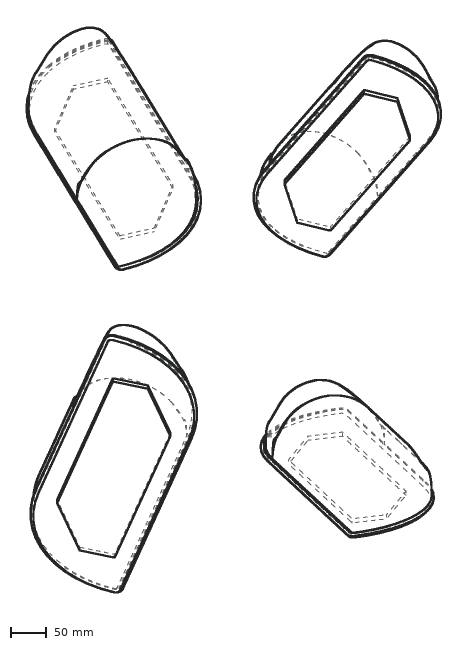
import cadquery as cq
import math

LENGTH = 512.5
WIDTH = 177.5

PLATE_HEIGHT = 6.0
RIM_HEIGHT = 7.0
DOME_HEIGHT = 84.5

RIM_ARC_RADIUS = 172.5
RIM_CORNER_RADIUS = 9.5
RIM_CHAMFER = 4.0
RIM_TOP_FILLET = 2.0
BEAD_WIDTH = 4.5
RECESS_DEPTH = 1.5

DOME_LENGTH = 502.5
DOME_WIDTH = 167.0
DOME_SHIFT_X = 1.0
DOME_SHIFT_Y = -2.5
CROWN_EXPONENT = 2.35
TIP_ANGLE = 1
SECTION_COUNT = 14
ARCH_STEPS = 8

PLATE_LENGTH = 351.5
PLATE_WIDTH = 110.5
PLATE_CUT_X = 85.5
PLATE_CUT_Y = 59.5

RIM_BOTTOM = PLATE_HEIGHT
RECESS_FLOOR = RIM_BOTTOM + RIM_HEIGHT - RECESS_DEPTH
DOME_END_LENGTH = DOME_WIDTH
DOME_MIDDLE = DOME_LENGTH - 2 * DOME_END_LENGTH


def half_turn(shape):
    """Copy of a shape turned 180 degrees about the Z axis."""
    return shape.rotate((0, 0, 0), (0, 0, 1), 180)


def make_plate():
    """Low plate with two opposite corners cut away."""
    x, y = PLATE_LENGTH / 2, PLATE_WIDTH / 2
    outline = [
        (-x, y),
        (-x, -y + PLATE_CUT_Y),
        (-x + PLATE_CUT_X, -y),
        (x, -y),
        (x, y - PLATE_CUT_Y),
        (x - PLATE_CUT_X, y),
    ]
    return cq.Workplane("XY").polyline(outline).close().extrude(PLATE_HEIGHT)


def lens_slab(inset, bottom, height):
    """Lens-shaped slab inset from the rim edge: a sharp-tipped core grown until its tips are round."""
    x = LENGTH / 2 - RIM_CORNER_RADIUS
    y = WIDTH / 2 - RIM_CORNER_RADIUS
    radius = RIM_ARC_RADIUS - RIM_CORNER_RADIUS
    center_y = -y + radius
    tip_angle = math.asin((y - center_y) / radius)
    center_x = -x + radius * math.cos(tip_angle)
    middle_angle = (tip_angle - math.pi / 2) / 2
    tip = (-x, y)
    middle = (
        center_x - radius * math.cos(middle_angle),
        center_y + radius * math.sin(middle_angle),
    )
    return (
        cq.Workplane("XY", origin=(0, 0, bottom))
        .moveTo(*tip)
        .threePointArc(middle, (center_x, -y))
        .lineTo(-tip[0], -tip[1])
        .threePointArc((-middle[0], -middle[1]), (-center_x, y))
        .close()
        .offset2D(RIM_CORNER_RADIUS - inset, "arc")
        .extrude(height)
    )


def make_rim():
    """Rim with a chamfered underside and a rounded bead around a shallow recess."""
    rim = lens_slab(0, RIM_BOTTOM, RIM_HEIGHT)
    rim = rim.faces("<Z").chamfer(RIM_CHAMFER)
    rim = rim.faces(">Z").edges().fillet(RIM_TOP_FILLET)
    return rim.cut(lens_slab(BEAD_WIDTH, RECESS_FLOOR, RECESS_DEPTH))


def dome_section(reach):
    """Closed half-ellipse across the -X end, at a fraction `reach` of the way to its tip."""
    width = DOME_WIDTH * math.sqrt(1 - reach**2)
    height = DOME_HEIGHT * (1 - reach**CROWN_EXPONENT) ** (1 / CROWN_EXPONENT)
    middle_y = (DOME_WIDTH - width) / 2
    arch = []
    for step in range(ARCH_STEPS + 1):
        angle = math.pi * step / ARCH_STEPS
        arch.append((middle_y + width / 2 * math.cos(angle), height * math.sin(angle)))
    x = -DOME_MIDDLE / 2 - reach * DOME_END_LENGTH
    return (
        cq.Workplane("YZ", origin=(x, 0, 0))
        .moveTo(*arch[0])
        .spline(arch[1:], tangents=[(0, 1), (0, -1)], includeCurrent=True)
        .close()
    )


def make_dome():
    """Straight vault closed by two lofted ends that lean to opposite sides."""
    sections = []
    for index in range(SECTION_COUNT):
        fraction = index / (SECTION_COUNT - 1)
        angle = 90 + (TIP_ANGLE - 90) * fraction
        sections.append(dome_section(math.cos(math.radians(angle))).val())
    end = cq.Workplane(cq.Solid.makeLoft(sections))
    vault = dome_section(0).extrude(DOME_MIDDLE)
    dome = vault.union(end).union(half_turn(end))
    return dome.translate((DOME_SHIFT_X, DOME_SHIFT_Y, RECESS_FLOOR))


result = make_plate().union(make_rim()).union(make_dome())